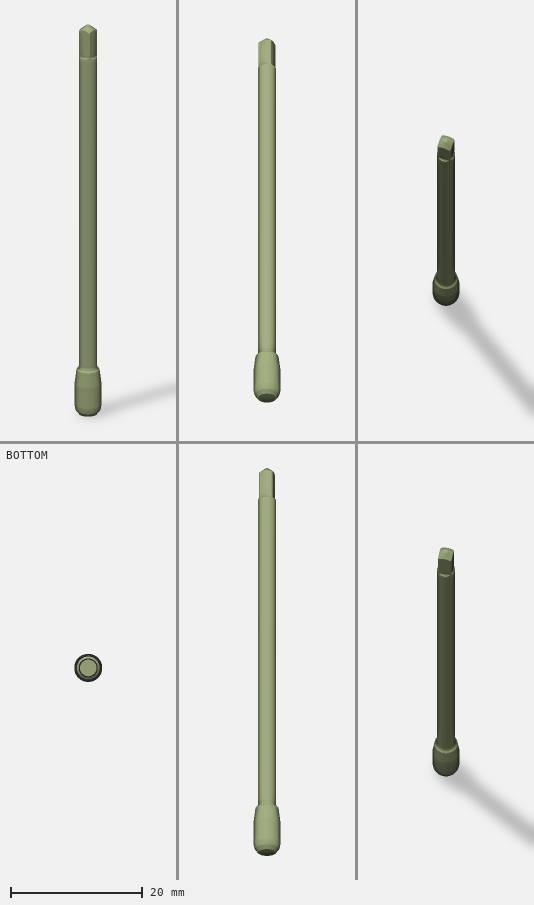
import cadquery as cq

TOTAL_LENGTH = 63.1

SHAFT_RADIUS = 2.8 / 2
SHAFT_TOP = 57.9
RIM_RADIUS = 2.7 / 2
SHAFT_CHAMFER_WIDTH = SHAFT_RADIUS - RIM_RADIUS
SHAFT_CHAMFER_HEIGHT = 0.4

SQUARE_WIDTH = 2.1
SQUARE_CORNER_RADIUS = RIM_RADIUS
SQUARE_ROOT_CHAMFER = 0.2
POINT_RADIUS = 0.25
POINT_HEIGHT = 0.9

HEAD_RADIUS = 4.1 / 2
BOTTOM_RADIUS = 2.7 / 2
NOSE_RADIUS = 1.8
NOSE_HEIGHT = 0.55
BARREL_BOTTOM = 1.5
BARREL_TOP = 4.9
TAPER_TOP = 7.2
TAPER_TOP_RADIUS = 1.75
COLLAR_BOTTOM = 7.45
COLLAR_RADIUS = 1.5
HEAD_TOP = 7.8

SOCKET_FLOOR = BARREL_TOP


def make_shaft():
    """Round shaft with a chamfered upper rim and a square drive."""
    shaft_length = SHAFT_TOP - SOCKET_FLOOR
    shaft = (
        cq.Workplane("XY")
        .workplane(offset=SOCKET_FLOOR)
        .circle(SHAFT_RADIUS)
        .extrude(shaft_length)
        .faces(">Z")
        .edges()
        .chamfer(SHAFT_CHAMFER_HEIGHT, SHAFT_CHAMFER_WIDTH)
    )
    return shaft.union(make_square_drive())


def make_square_drive():
    """Square bar trimmed by a pointed round envelope, flared where it meets the shaft."""
    length = TOTAL_LENGTH - SHAFT_TOP
    square = cq.Workplane("XY").workplane(offset=SHAFT_TOP).rect(SQUARE_WIDTH, SQUARE_WIDTH).extrude(length)
    root_width = SQUARE_WIDTH + 2 * SQUARE_ROOT_CHAMFER
    root = (
        cq.Workplane("XY")
        .workplane(offset=SHAFT_TOP)
        .rect(root_width, root_width)
        .workplane(offset=SQUARE_ROOT_CHAMFER)
        .rect(SQUARE_WIDTH, SQUARE_WIDTH)
        .loft(ruled=True)
    )
    root_envelope = (
        cq.Workplane("XY")
        .workplane(offset=SHAFT_TOP)
        .circle(RIM_RADIUS)
        .extrude(SQUARE_ROOT_CHAMFER)
    )
    envelope = (
        cq.Workplane("XZ")
        .moveTo(0, SHAFT_TOP)
        .lineTo(SQUARE_CORNER_RADIUS, SHAFT_TOP)
        .lineTo(SQUARE_CORNER_RADIUS, TOTAL_LENGTH - POINT_HEIGHT)
        .lineTo(POINT_RADIUS, TOTAL_LENGTH)
        .lineTo(0, TOTAL_LENGTH)
        .close()
        .revolve(360, (0, 0), (0, 1))
    )
    return square.intersect(envelope).union(root.intersect(root_envelope))


def make_head():
    """Turned head: conical rim down to the shaft, taper, straight barrel, rounded nose, blind socket."""
    return (
        cq.Workplane("XZ")
        .moveTo(0, SOCKET_FLOOR)
        .lineTo(SHAFT_RADIUS, SOCKET_FLOOR)
        .lineTo(SHAFT_RADIUS, HEAD_TOP)
        .lineTo(COLLAR_RADIUS, COLLAR_BOTTOM)
        .lineTo(TAPER_TOP_RADIUS, TAPER_TOP)
        .lineTo(HEAD_RADIUS, BARREL_TOP)
        .lineTo(HEAD_RADIUS, BARREL_BOTTOM)
        .tangentArcPoint((NOSE_RADIUS, NOSE_HEIGHT), relative=False)
        .lineTo(BOTTOM_RADIUS, 0)
        .lineTo(0, 0)
        .close()
        .revolve(360, (0, 0), (0, 1))
    )


shaft = make_shaft()
head = make_head()

result = cq.Compound.makeCompound([shaft.val(), head.val()])